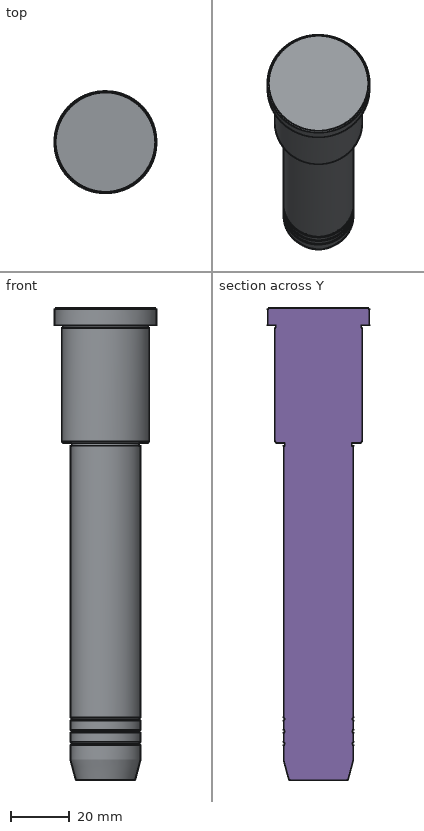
import cadquery as cq
import math

length = 161.0
head_diameter = 35.0
head_radius = head_diameter / 2
head_height = 6.0
shoulder_radius = 15.0
shoulder_bottom = length - 46.0
shaft_diameter = 24.0
shaft_radius = shaft_diameter / 2
edge_chamfer = 0.56

undercut_width = 1.0
head_undercut_depth = 0.3
shoulder_undercut_depth = 0.5

groove_width = 1.1
groove_depth = 0.5
groove_count = 3
lowest_groove = 12.5
groove_pitch = 4.2

taper_height = 7.1
taper_angle = 15
tip_chamfer = 0.3
tip_radius = shaft_radius - taper_height * math.tan(math.radians(taper_angle))


def cylinder(radius, bottom, top):
    return cq.Workplane("XY").workplane(offset=bottom).circle(radius).extrude(top - bottom)


def tapered_tip():
    return (
        cq.Workplane("XY")
        .circle(tip_radius)
        .workplane(offset=taper_height)
        .circle(shaft_radius)
        .loft()
        .faces("<Z").edges().chamfer(tip_chamfer)
    )


def ring_cutter(points):
    """Solid of revolution about Z from a closed outline of (radius, height) points."""
    return cq.Workplane("XZ").polyline(points).close().revolve(360, (0, 0), (0, 1))


def head_undercut(top):
    """Shallow neck below the head, running out along a sloped lower side."""
    floor_radius = shoulder_radius - head_undercut_depth
    return ring_cutter([
        (floor_radius, top),
        (shoulder_radius, top),
        (shoulder_radius, top - undercut_width),
        (floor_radius, top - undercut_width + head_undercut_depth),
    ])


def shoulder_undercut(top):
    """Square-sided neck below the shoulder."""
    floor_radius = shaft_radius - shoulder_undercut_depth
    return ring_cutter([
        (floor_radius, top),
        (shaft_radius, top),
        (shaft_radius, top - undercut_width),
        (floor_radius, top - undercut_width),
    ])


def tip_groove(height):
    """V-groove around the shaft, centred on the given height."""
    return ring_cutter([
        (shaft_radius, height - groove_width / 2),
        (shaft_radius - groove_depth, height),
        (shaft_radius, height + groove_width / 2),
    ])


head_bottom = length - head_height
head = cylinder(head_radius, head_bottom, length).faces(">Z").edges().chamfer(edge_chamfer)
shoulder = cylinder(shoulder_radius, shoulder_bottom, head_bottom)
shoulder = shoulder.faces("<Z").edges().chamfer(edge_chamfer)
shaft = cylinder(shaft_radius, taper_height, shoulder_bottom)

result = tapered_tip().union(shaft).union(shoulder).union(head)
result = result.cut(head_undercut(head_bottom))
result = result.cut(shoulder_undercut(shoulder_bottom))

for index in range(groove_count):
    result = result.cut(tip_groove(lowest_groove + index * groove_pitch))